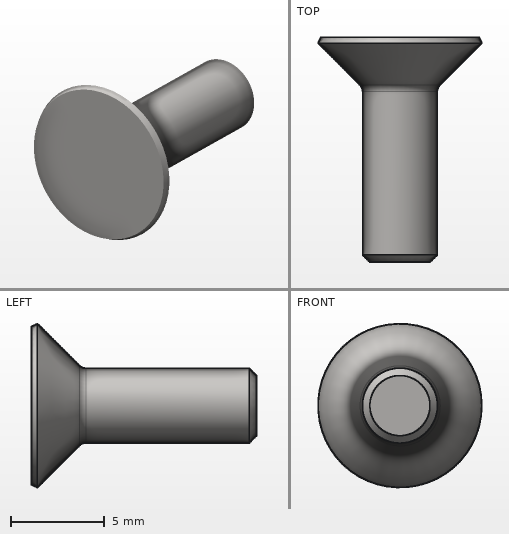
import cadquery as cq
import math

length = 12.0
head_diameter = 8.74
head_face_diameter = 8.44
rim_height = 0.32
shank_diameter = 4.0
tip_chamfer = 0.4
neck_fillet_radius = 0.48
cone_angle = math.radians(45)

head_radius = head_diameter / 2
head_face_radius = head_face_diameter / 2
shank_radius = shank_diameter / 2


def neck_point(angle):
    """Point on the neck fillet where its tangent makes this angle with the axis."""
    radius = shank_radius + neck_fillet_radius * (1 - math.cos(angle))
    return (radius, neck_end_y + neck_fillet_radius * math.sin(angle))


neck_top_radius = shank_radius + neck_fillet_radius * (1 - math.cos(cone_angle))
cone_height = (head_radius - neck_top_radius) / math.tan(cone_angle)
neck_height = neck_fillet_radius * math.sin(cone_angle)
neck_end_y = -(rim_height + cone_height + neck_height)

half_section = (
    cq.Workplane("XY")
    .moveTo(0, 0)
    .lineTo(head_face_radius, 0)
    .lineTo(head_radius, -rim_height)
    .lineTo(*neck_point(cone_angle))
    .threePointArc(neck_point(cone_angle / 2), neck_point(0))
    .lineTo(shank_radius, -length + tip_chamfer)
    .lineTo(shank_radius - tip_chamfer, -length)
    .lineTo(0, -length)
    .close()
)
result = half_section.revolve(360, (0, 0, 0), (0, 1, 0))